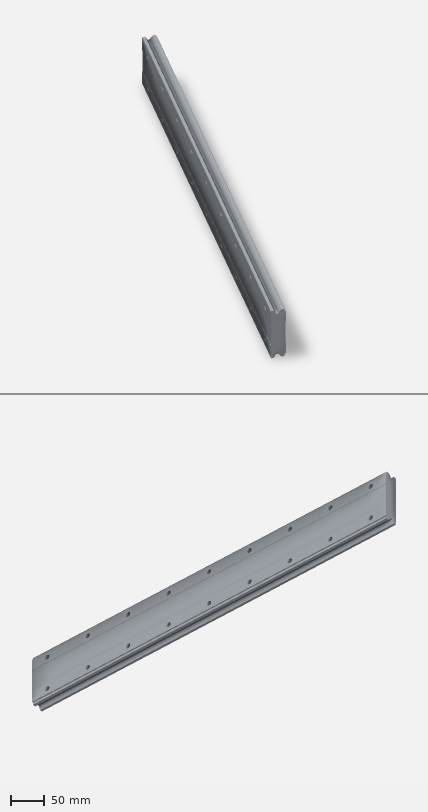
import cadquery as cq

length = 700.0
thickness = 24.0
height = 90.0

groove_depth = 6.0
front_lip_tip = 5.0
front_lip_root = 8.5
back_lip_tip = 7.0
back_lip_bevel = 2.0
back_lip_root = 12.0

front_bevel_width = 1.0
front_bevel_height = 1.5
back_step_width = 2.0
back_step_height = 4.0

relief_height = 40.5
relief_depth = 0.5

hole_diameter = 8.5
holes_per_row = 9
end_hole_inset = 30.0
row_spacing = 61.0

front = -thickness / 2
back = thickness / 2
top = height / 2
hole_pitch = (length - 2 * end_hole_inset) / (holes_per_row - 1)


def make_rail():
    """Grooved rail, from its upper outline (Y, Z) mirrored to the lower half."""
    relief_edge = relief_height / 2
    floor = top - groove_depth
    upper = [
        (front + relief_depth, relief_edge),
        (front, relief_edge),
        (front, top - front_bevel_height),
        (front + front_bevel_width, top),
        (front + front_lip_tip, top),
        (front + front_lip_root, floor),
        (back - back_lip_root, floor),
        (back - back_lip_tip - back_lip_bevel, top - back_lip_bevel),
        (back - back_lip_tip, top),
        (back - back_step_width, top),
        (back - back_step_width, top - back_step_height),
        (back, top - back_step_height),
        (back, relief_edge),
        (back - relief_depth, relief_edge),
    ]
    lower = [(y, -z) for y, z in reversed(upper)]
    section = cq.Workplane("YZ", origin=(-length / 2, 0, 0)).polyline(upper + lower).close()
    return section.extrude(length)


def make_holes():
    """Cylinders through the thickness, in two rows along the rail."""
    return (
        cq.Workplane("XZ", origin=(0, back, 0))
        .rarray(hole_pitch, row_spacing, holes_per_row, 2)
        .circle(hole_diameter / 2)
        .extrude(thickness)
    )


result = make_rail().cut(make_holes())